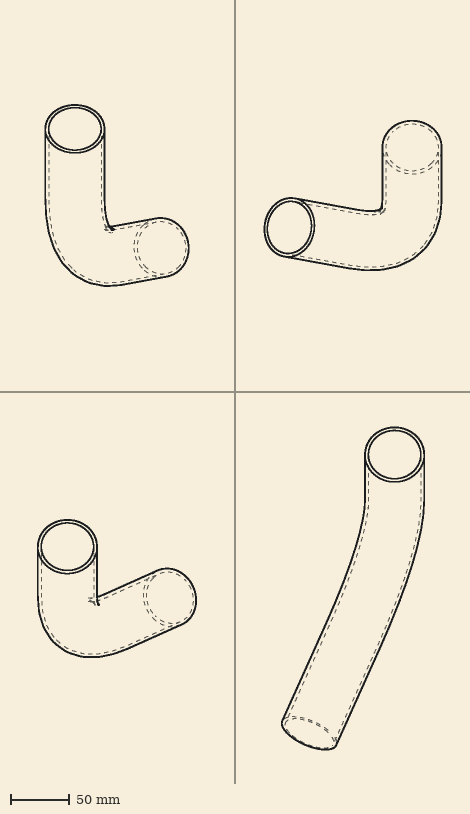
import cadquery as cq
import math

outer_diameter = 51.0
inner_diameter = 45.0
straight_length = 101.7
bend_radius = 228.5
bend_angle = 45.0


def bend_point(angle):
    """Centreline point (y, z) after turning by the given angle in degrees."""
    turn = math.radians(angle)
    return bend_radius * (1 - math.cos(turn)), -bend_radius * math.sin(turn)


bend_end = bend_point(bend_angle)
leg_y = straight_length * math.sin(math.radians(bend_angle))
leg_z = -straight_length * math.cos(math.radians(bend_angle))
centreline = (
    cq.Workplane("YZ")
    .moveTo(0, straight_length)
    .lineTo(0, 0)
    .threePointArc(bend_point(bend_angle / 2), bend_end)
    .lineTo(bend_end[0] + leg_y, bend_end[1] + leg_z)
)

result = (
    cq.Workplane("XY", origin=(0, 0, straight_length))
    .circle(outer_diameter / 2)
    .circle(inner_diameter / 2)
    .sweep(centreline)
)